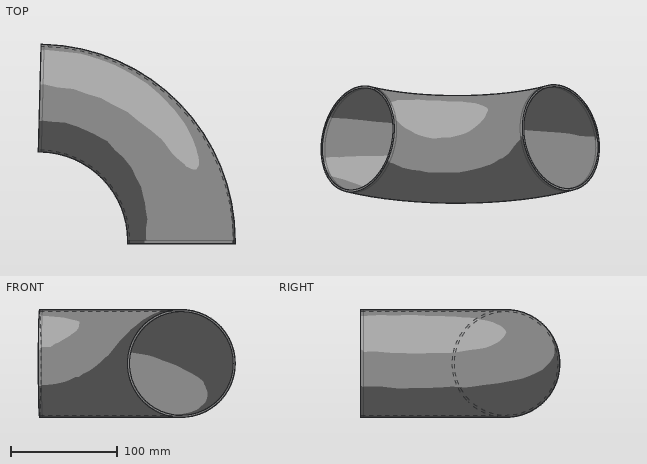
import math

import cadquery as cq

overall_length = 187.7
outer_diameter = 101.5
inner_diameter = 97.5
bend_angle = 88.5
stub_length = 3.0

bend_angle_radians = math.radians(bend_angle)
stub_share = stub_length * (1 + math.cos(bend_angle_radians))
outer_bend_radius = (overall_length - stub_share) / math.sin(bend_angle_radians)
bend_radius = outer_bend_radius - outer_diameter / 2


def pipe_section():
    """Ring cross-section in the XZ plane, one bend radius from the Z axis."""
    return (
        cq.Workplane("XZ")
        .center(bend_radius, 0)
        .circle(outer_diameter / 2)
        .circle(inner_diameter / 2)
    )


def curved_pipe():
    """Ring section revolved about the Z axis, starting at +X and turning towards +Y."""
    return pipe_section().revolve(bend_angle, (-bend_radius, 0), (-bend_radius, 1))


def straight_stub(length):
    """Straight pipe at the start of the bend; a positive length runs towards -Y."""
    return pipe_section().extrude(length)


start_stub = straight_stub(stub_length)
end_stub = straight_stub(-stub_length).rotate((0, 0, 0), (0, 0, 1), bend_angle)

result = curved_pipe().union(start_stub).union(end_stub)